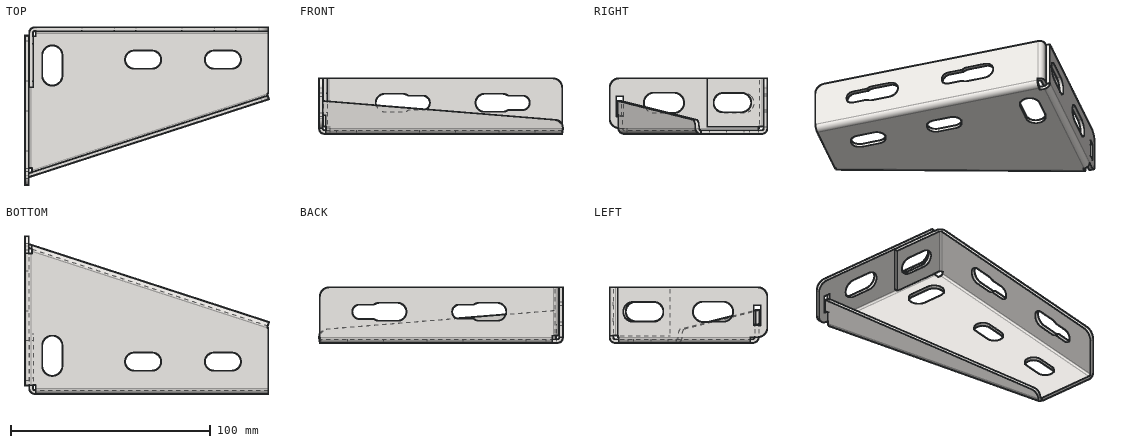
import cadquery as cq
import math


thickness = 2.0
outer_bend = 2.9
inner_bend = outer_bend - thickness
bend_reach = 3.3
corner_radius = 4.9
height = 28.0
cut_margin = 1.2
cut_depth = thickness + 2 * cut_margin

floor_length = 122.1
tab_gap = 0.1
tab_face_x = thickness + tab_gap
relief_x = tab_face_x + bend_reach
relief_y = 4.5

plate_back = 4.2
plate_front = 79.2
end_bend_front = 70.6

tab_length = 30.2
tab_bottom = 3.8

slant_angle = 18.0
slant_start_y = -75.3
slant_end_x = 122.4
slant_height = 16.7
slant_end_height = 6.9
slant_corner_radius = 4.2
slant_foot_gap = 3.4
slant_foot_height = 9.5
slant_length = (slant_end_x - thickness) / math.cos(math.radians(slant_angle))

wall_slot_z = 15.7
end_slot_length = 20.1
end_slot_width = 10.0
end_slot_centers = (-16.9, -51.9)
tab_slot_length = 18.9
tab_slot_width = 9.5
tab_slot_y = -17.6
tab_slot_z = 15.8
window_y = -74.1
window_z = 14.0
window_width = 3.4
window_height = 10.0
back_slot_starts = (28.5, 78.6)
back_slot_length = 18.0
back_slot_width = 8.9
keyhole_length = 27.0
keyhole_width = 7.1
floor_slot_centers = (59.3, 99.3)
floor_slot_y = -16.3
cross_slot_x = 13.7
cross_slot_y = -19.2


def block(x0, x1, y0, y1, z0, z1):
    """Axis-aligned box between two opposite corners."""
    return cq.Workplane("XY").box(x1 - x0, y1 - y0, z1 - z0, centered=False).translate((x0, y0, z0))


def bent_sheet(plane, leg, run):
    """L-shaped sheet: a short stub along local x, the long leg along local y."""
    diagonal = math.sqrt(0.5)
    outer_mid = outer_bend * (1 - diagonal)
    inner_mid = outer_bend - inner_bend * diagonal
    return (
        cq.Workplane(plane)
        .moveTo(bend_reach, 0)
        .lineTo(outer_bend, 0)
        .threePointArc((outer_mid, outer_mid), (0, outer_bend))
        .lineTo(0, leg)
        .lineTo(thickness, leg)
        .lineTo(thickness, outer_bend)
        .threePointArc((inner_mid, inner_mid), (outer_bend, thickness))
        .lineTo(bend_reach, thickness)
        .close()
        .extrude(run)
    )


def slot_x(length, width, x, z):
    """Horizontal slot through the back wall."""
    return (
        cq.Workplane("XZ", origin=(x, cut_margin, z)).slot2D(length, width).extrude(cut_depth)
    )


def slot_y(length, width, y, z, x):
    """Horizontal slot through a sheet whose outer face is at x."""
    return (
        cq.Workplane("YZ", origin=(x, y, z)).slot2D(length, width).extrude(thickness)
    )


def slot_z(length, width, x, y, angle=0):
    """Slot through the floor."""
    return (
        cq.Workplane("XY", origin=(x, y, -cut_margin)).slot2D(length, width, angle).extrude(cut_depth)
    )


def make_slanted_flange():
    """Flange with its bend; its top edge falls towards the free end, which is rounded."""
    angle = math.radians(slant_angle)
    along = (math.cos(angle), math.sin(angle), 0)
    inward = (-math.sin(angle), math.cos(angle), 0)
    start = (thickness, slant_start_y, 0)
    overrun = outer_bend
    bend_origin = (start[0] - overrun * along[0], start[1] - overrun * along[1], 0)
    flange = bent_sheet(
        cq.Plane(bend_origin, inward, along), height, slant_length + overrun
    )
    slope = (slant_end_height - slant_height) / slant_length
    side = cq.Plane(start, along, (-inward[0], -inward[1], 0))
    outline = (
        cq.Workplane(side)
        .moveTo(-overrun, 0)
        .lineTo(slant_length, 0)
        .lineTo(slant_length, slant_end_height)
        .lineTo(-overrun, slant_height - slope * overrun)
        .close()
        .extrude(cut_depth, both=True)
    )
    end_corner = cq.selectors.NearestToPointSelector(
        (slant_end_x, start[1] + slant_length * along[1], slant_end_height)
    )
    outline = outline.edges(cq.selectors.ParallelDirSelector(cq.Vector(*inward)))
    outline = outline.edges(end_corner).fillet(slant_corner_radius)
    flange = flange.intersect(outline)
    flange = flange.cut(block(-outer_bend, thickness, -plate_front, 0, 0, height))
    return flange.cut(block(0, slant_foot_gap, -plate_front, 0, 0, slant_foot_height))


def make_floor():
    """Flat floor, bounded by the bend lines of the three upright sheets."""
    angle = math.radians(slant_angle)

    def slant_y(x):
        return slant_start_y + (x - thickness) * math.tan(angle) + outer_bend / math.cos(angle)

    floor = (
        cq.Workplane("XY")
        .polyline(
            [
                (outer_bend, -relief_y),
                (relief_x, -relief_y),
                (relief_x, -outer_bend),
                (floor_length, -outer_bend),
                (floor_length, slant_y(floor_length)),
                (slant_foot_gap, slant_y(slant_foot_gap)),
                (slant_foot_gap, -end_bend_front),
                (outer_bend, -end_bend_front),
            ]
        )
        .close()
        .extrude(thickness)
    )
    for x in floor_slot_centers:
        floor = floor.cut(slot_z(back_slot_length, back_slot_width, x, floor_slot_y))
    return floor.cut(slot_z(end_slot_length, end_slot_width, cross_slot_x, cross_slot_y, 90))


def make_end_plate():
    """End plate with two slots and a window for the slanted flange, plus its floor bend."""
    plate = block(0, thickness, -plate_front, -plate_back, outer_bend, height)
    plate = plate.edges("|X and <Y").fillet(corner_radius)
    bend_run = end_bend_front - relief_y
    bend_plane = cq.Plane((0, -relief_y, 0), (1, 0, 0), (0, -1, 0))
    plate = plate.union(bent_sheet(bend_plane, height / 2, bend_run))
    for y in end_slot_centers:
        plate = plate.cut(slot_y(end_slot_length, end_slot_width, y, wall_slot_z, 0))
    window = cq.Workplane("YZ", origin=(0, window_y, window_z)).rect(window_width, window_height)
    return plate.cut(window.extrude(thickness))


def make_back_wall():
    """Back wall with keyhole slots, its floor bend and the folded tab."""
    bend_plane = cq.Plane((floor_length, 0, 0), (0, -1, 0), (-1, 0, 0))
    wall = bent_sheet(bend_plane, height, floor_length - relief_x)
    wall = wall.edges("|Y and >X and >Z").fillet(corner_radius)
    tab_plane = cq.Plane((tab_face_x, 0, tab_bottom), (1, 0, 0), (0, 0, -1))
    tab = bent_sheet(tab_plane, tab_length, tab_bottom - height)
    tab = tab.cut(slot_y(tab_slot_length, tab_slot_width, tab_slot_y, tab_slot_z, tab_face_x))
    wall = wall.union(tab)
    for start in back_slot_starts:
        wide_x = start + back_slot_length / 2
        wall = wall.cut(slot_x(back_slot_length, back_slot_width, wide_x, wall_slot_z))
        narrow_start = start + (back_slot_width - keyhole_width) / 2
        narrow_length = start + keyhole_length - narrow_start
        narrow_x = narrow_start + narrow_length / 2
        wall = wall.cut(slot_x(narrow_length, keyhole_width, narrow_x, wall_slot_z))
    return wall


result = make_floor().union(make_back_wall()).union(make_end_plate()).union(make_slanted_flange())